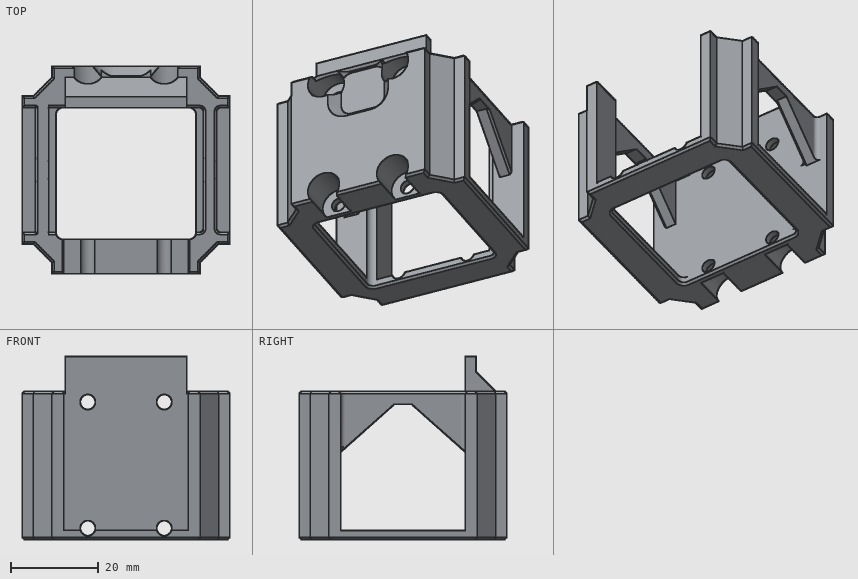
import cadquery as cq
import math

frame_width = 47.6
frame_height = 34.0
total_height = 41.94
edge_chamfer = 0.55
flare_angle = 45.0
half_width = frame_width / 2

arm_half_width = 16.95
notch_shoulder = 21.2

window_half_width = 14.25
front_rim_chamfer = 0.4

floor_thickness = 2.1
opening_half_width = 16.0
opening_back = window_half_width
opening_front = -15.85
opening_radius = 1.5

wall_inner = 17.75
wall_outer = 20.75
wall_corner_radius = 1.0
gable_top = 30.95
gable_slope = math.tan(math.radians(41.6))
gable_half_flat = 2.0
gable_chamfer = 0.5

tab_half_width = 13.95
tab_thickness = 2.5

hole_diameter = 3.4
hole_x = 8.75
hole_low_z = 2.6
hole_high_z = 31.5
counterbore_diameter = 8.0
back_wall_thickness = 1.6

relief_half_width = 7.65
relief_corner_radius = 4.7
relief_top = 35.9
relief_height = 2 * relief_half_width
relief_taper = 40.0

cut_margin = 5.0


def box_between(x_range, y_range, z_range):
    """Axis-aligned box between pairs of limits."""
    return (
        cq.Workplane("XY")
        .box(
            x_range[1] - x_range[0],
            y_range[1] - y_range[0],
            z_range[1] - z_range[0],
            centered=False,
        )
        .translate((x_range[0], y_range[0], z_range[0]))
    )


def recess(x_range, y_range, flare, rounded_edges=None):
    """Cutter from the floor to the rim, widened by a 45 degree flare at the rim."""
    flare_start = frame_height - flare
    cutter = box_between(x_range, y_range, (floor_thickness, flare_start))
    if rounded_edges:
        cutter = cutter.edges(rounded_edges).fillet(wall_corner_radius)
    rim_outline = cutter.faces(">Z").wires().toPending().workplane()
    return cutter.union(rim_outline.extrude(flare, taper=-flare_angle, combine=False))


def outer_block():
    """Cross-like prism with chamfered top and bottom outlines."""
    corner = [
        (half_width, arm_half_width),
        (notch_shoulder, arm_half_width),
        (arm_half_width, notch_shoulder),
        (arm_half_width, half_width),
    ]
    outline = []
    for x_sign, y_sign in ((1, 1), (-1, 1), (-1, -1), (1, -1)):
        quarter = [(x_sign * x, y_sign * y) for x, y in corner]
        outline += quarter if x_sign == y_sign else quarter[::-1]
    block = cq.Workplane("XY").polyline(outline).close().extrude(frame_height)
    return block.faces("<Z or >Z").edges().chamfer(edge_chamfer)


def floor_opening():
    """Rounded opening through the floor up to the rim, chamfered at its lower edge."""
    opening = box_between(
        (-opening_half_width, opening_half_width),
        (opening_front, opening_back),
        (edge_chamfer, frame_height),
    ).edges("|Z").fillet(opening_radius)
    lower_edge = opening.faces("<Z").wires().toPending().workplane()
    return opening.union(lower_edge.extrude(edge_chamfer, taper=-flare_angle, combine=False))


def inner_cavity():
    """Space between the side walls; rounded and flared at +X, square at -X."""
    y_range = (-window_half_width, window_half_width)
    cavity = recess((-wall_inner, wall_inner), y_range, edge_chamfer, ">X and |Z")
    keep = box_between((-wall_inner, half_width), (-half_width, half_width), (0, frame_height))
    return cavity.intersect(keep)


def side_recesses():
    """Shallow recesses outside the two side walls."""
    y_range = (-window_half_width, window_half_width)
    left = recess((-half_width - cut_margin, -wall_outer), y_range, edge_chamfer)
    right = recess((wall_outer, half_width + cut_margin), y_range, edge_chamfer, "<X and |Z")
    return left.union(right)


def front_window():
    """Open front between the two front columns."""
    return recess(
        (-window_half_width, window_half_width),
        (-half_width - cut_margin, opening_front + opening_radius),
        front_rim_chamfer,
    )


def gable_section(x, half_flat):
    """Gabled window section in the plane at the given x."""
    eave = gable_top - (window_half_width - half_flat) * gable_slope
    return cq.Workplane("YZ", origin=(x, 0, 0)).polyline(
        [
            (-window_half_width, floor_thickness),
            (window_half_width, floor_thickness),
            (window_half_width, eave),
            (half_flat, gable_top),
            (-half_flat, gable_top),
            (-window_half_width, eave),
        ]
    ).close()


def gable_window(x_start):
    """Gabled window through one wall, its sloped edges chamfered on the -X face."""
    widening = gable_chamfer * math.hypot(1, gable_slope) / gable_slope
    half_flat_wide = gable_half_flat + widening
    chamfer_end = x_start + gable_chamfer
    through = 2 * wall_corner_radius + wall_outer - wall_inner
    near = gable_section(x_start, half_flat_wide)
    far = gable_section(chamfer_end, gable_half_flat)
    chamfer = cq.Solid.makeLoft([near.wires().val(), far.wires().val()], True)
    return (
        gable_section(chamfer_end, gable_half_flat)
        .extrude(through)
        .union(gable_section(x_start, half_flat_wide).extrude(-2 * wall_corner_radius))
        .union(cq.Workplane(chamfer))
    )


def mounting_tab():
    """Upright tab with a 45 degree buttress behind it."""
    tab_front = window_half_width
    tab_back = tab_front + tab_thickness
    buttress_top = frame_height + notch_shoulder - tab_back
    profile = [
        (tab_front, frame_height - edge_chamfer),
        (tab_front, total_height),
        (tab_back, total_height),
        (tab_back, buttress_top),
        (notch_shoulder, frame_height),
        (notch_shoulder, frame_height - edge_chamfer),
    ]
    return cq.Workplane("YZ").polyline(profile).close().extrude(tab_half_width, both=True)


def along_y(diameter, x, z, y_start, y_end):
    """Cylinder parallel to Y."""
    start = cq.Vector(x, y_start, z)
    direction = cq.Vector(0, 1, 0)
    return cq.Workplane(cq.Solid.makeCylinder(diameter / 2, y_end - y_start, start, direction))


def drill(body):
    """Four screw holes through front and back, counterbored from the back."""
    counterbore_floor = window_half_width + back_wall_thickness
    for x in (-hole_x, hole_x):
        for z in (hole_low_z, hole_high_z):
            body = body.cut(along_y(hole_diameter, x, z, -half_width, half_width))
            body = body.cut(along_y(counterbore_diameter, x, z, counterbore_floor, half_width))
    return body


def back_relief():
    """Rounded pocket in the back face, tapering inwards."""
    return (
        cq.Workplane("XZ", origin=(0, half_width, relief_top - relief_height / 2))
        .sketch()
        .rect(2 * relief_half_width, relief_height)
        .vertices()
        .fillet(relief_corner_radius)
        .finalize()
        .extrude(half_width - notch_shoulder, taper=relief_taper)
    )


body = outer_block()
for cutter in (
    floor_opening(),
    inner_cavity(),
    side_recesses(),
    front_window(),
    gable_window(-wall_outer),
    gable_window(wall_inner),
):
    body = body.cut(cutter)
body = drill(body.union(mounting_tab()))
result = body.cut(back_relief())